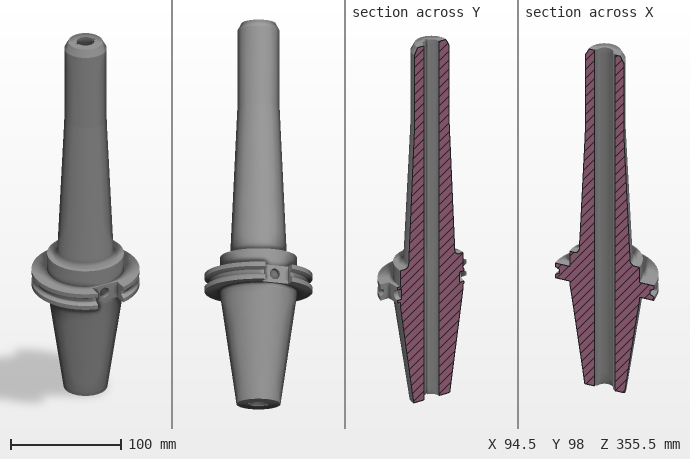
import cadquery as cq
import math

GAUGE_RADIUS = 35.0
TAPER_LENGTH = 101.7
TAPER_RATIO = 7 / 24
tail_radius = GAUGE_RADIUS - TAPER_LENGTH * TAPER_RATIO / 2

FLANGE_RADIUS = 49.0
FLANGE_GAP = 3.2
FLANGE_THICKNESS = 16.0
GROOVE_ROOT_RADIUS = 45.0
GROOVE_ROOT_WIDTH = 3.5
GROOVE_HALF_ANGLE = 30
flange_bottom = TAPER_LENGTH + FLANGE_GAP
flange_top = flange_bottom + FLANGE_THICKNESS
flange_middle = (flange_bottom + flange_top) / 2
groove_depth = FLANGE_RADIUS - GROOVE_ROOT_RADIUS
groove_root_half = GROOVE_ROOT_WIDTH / 2
groove_mouth_half = groove_root_half + groove_depth * math.tan(math.radians(GROOVE_HALF_ANGLE))

SLOT_WIDTH = 26.0
DEEP_SLOT_FLOOR = 35.5
SHALLOW_SLOT_FLOOR = 38.0
HOLE_DIAMETER = 10.0
HOLE_DEPTH = 4.5

TOTAL_LENGTH = 355.5
COLLAR_TOP = 137.0
NECK_FILLET = 4.3
NECK_RADIUS = 25.5
NOSE_RADIUS = 19.2
NOSE_START = 276.3
TIP_RADIUS = 15.5
TIP_CHAMFER_HEIGHT = 6.8
fillet_top = COLLAR_TOP + NECK_FILLET
fillet_mid_offset = NECK_FILLET * (1 - math.sqrt(0.5))

BORE_DIAMETER = 16.0
KEYWAY_WIDTH = 2.5
ACROSS_KEYWAYS = 19.5


def make_body():
    """Revolve the half profile, drawn as (radius, height), about Z."""
    profile = (
        cq.Workplane("XZ")
        .lineTo(tail_radius, 0)
        .lineTo(GAUGE_RADIUS, TAPER_LENGTH)
        .lineTo(GAUGE_RADIUS, flange_bottom)
        .lineTo(FLANGE_RADIUS, flange_bottom)
        .lineTo(FLANGE_RADIUS, flange_middle - groove_mouth_half)
        .lineTo(GROOVE_ROOT_RADIUS, flange_middle - groove_root_half)
        .lineTo(GROOVE_ROOT_RADIUS, flange_middle + groove_root_half)
        .lineTo(FLANGE_RADIUS, flange_middle + groove_mouth_half)
        .lineTo(FLANGE_RADIUS, flange_top)
        .lineTo(GAUGE_RADIUS, flange_top)
        .lineTo(GAUGE_RADIUS, COLLAR_TOP)
        .lineTo(NECK_RADIUS + NECK_FILLET, COLLAR_TOP)
        .threePointArc(
            (NECK_RADIUS + fillet_mid_offset, COLLAR_TOP + fillet_mid_offset),
            (NECK_RADIUS, fillet_top),
        )
        .lineTo(NOSE_RADIUS, NOSE_START)
        .lineTo(NOSE_RADIUS, TOTAL_LENGTH - TIP_CHAMFER_HEIGHT)
        .lineTo(TIP_RADIUS, TOTAL_LENGTH)
        .lineTo(0, TOTAL_LENGTH)
        .close()
    )
    return profile.revolve(360, (0, 0, 0), (0, 1, 0))


def drive_slot(side, floor_distance):
    """Slot through the flange and the hole in its floor; side is -1 or +1 along X."""
    slot_depth = FLANGE_RADIUS - floor_distance
    slot = cq.Workplane("XY").box(slot_depth, SLOT_WIDTH, FLANGE_THICKNESS).translate(
        (side * (floor_distance + slot_depth / 2), 0, flange_middle)
    )
    hole = (
        cq.Workplane("YZ", origin=(side * floor_distance, 0, flange_middle))
        .circle(HOLE_DIAMETER / 2)
        .extrude(-side * HOLE_DEPTH)
    )
    return slot.union(hole)


def make_bore():
    """Round bore joined with one bar that cuts both keyways."""
    round_bore = cq.Workplane("XY").circle(BORE_DIAMETER / 2).extrude(TOTAL_LENGTH)
    keyways = cq.Workplane("XY").rect(KEYWAY_WIDTH, ACROSS_KEYWAYS).extrude(TOTAL_LENGTH)
    return round_bore.union(keyways)


result = (
    make_body()
    .cut(make_bore())
    .cut(drive_slot(1, DEEP_SLOT_FLOOR))
    .cut(drive_slot(-1, SHALLOW_SLOT_FLOOR))
)